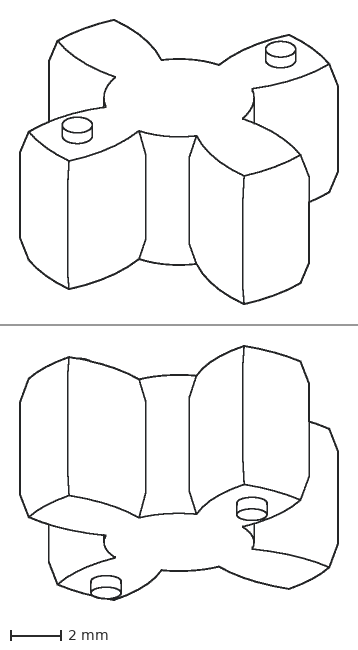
import cadquery as cq
import math

outer_radius = 6.85
hub_radius = 3.0
overall_height = 7.0
body_height = 6.0
arm_count = 4
arm_half_width = 1.85
flank_radius = 6.44
pin_circle_radius = 5.0
pin_diameter = 1.2
pin_height = (overall_height - body_height) / 2
bevel_height = 1.0
bevel_inset = 0.3


def arm_outline(plane, inset):
    """Arm along +X: two convex flanks and a round tip, all moved inwards by inset."""
    tip_radius = outer_radius - inset
    side_radius = flank_radius - inset
    center_offset = flank_radius - arm_half_width

    def flank_y(x):
        return math.sqrt(side_radius**2 - (x - pin_circle_radius) ** 2) - center_offset

    center_distance = math.hypot(pin_circle_radius, center_offset)
    along = (tip_radius**2 - side_radius**2 + center_distance**2) / (2 * center_distance)
    across = math.sqrt(tip_radius**2 - along**2)
    corner_x = (along * pin_circle_radius + across * center_offset) / center_distance
    corner_y = flank_y(corner_x)

    root_x = hub_radius / 2
    root_y = flank_y(root_x)
    middle_x = pin_circle_radius
    middle_y = flank_y(middle_x)
    return (
        plane.moveTo(root_x, -root_y)
        .threePointArc((middle_x, -middle_y), (corner_x, -corner_y))
        .threePointArc((tip_radius, 0), (corner_x, corner_y))
        .threePointArc((middle_x, middle_y), (root_x, root_y))
        .close()
    )


def arm():
    """Straight middle with a bevelled end above and below, centred on Z = 0."""
    half_height = body_height / 2
    straight_top = half_height - bevel_height
    middle = arm_outline(cq.Workplane("XY", origin=(0, 0, -straight_top)), 0).extrude(2 * straight_top)
    bevel_base = arm_outline(cq.Workplane("XY", origin=(0, 0, straight_top)), 0)
    bevel = arm_outline(bevel_base.workplane(offset=bevel_height), bevel_inset).loft(ruled=True)
    return middle.union(bevel).union(bevel.mirror("XY"))


def pin(angle, side):
    """Pin on an arm's upper (side = 1) or lower (side = -1) face."""
    face_z = side * body_height / 2
    return (
        cq.Workplane("XY", origin=(0, 0, face_z))
        .center(
            pin_circle_radius * math.cos(math.radians(angle)),
            pin_circle_radius * math.sin(math.radians(angle)),
        )
        .circle(pin_diameter / 2)
        .extrude(side * pin_height)
    )


result = cq.Workplane("XY").circle(hub_radius).extrude(body_height / 2, both=True)
base_arm = arm()
for index in range(arm_count):
    arm_angle = index * 360 / arm_count
    pin_side = -1 if index % 2 == 0 else 1
    result = result.union(base_arm.rotate((0, 0, 0), (0, 0, 1), arm_angle))
    result = result.union(pin(arm_angle, pin_side))